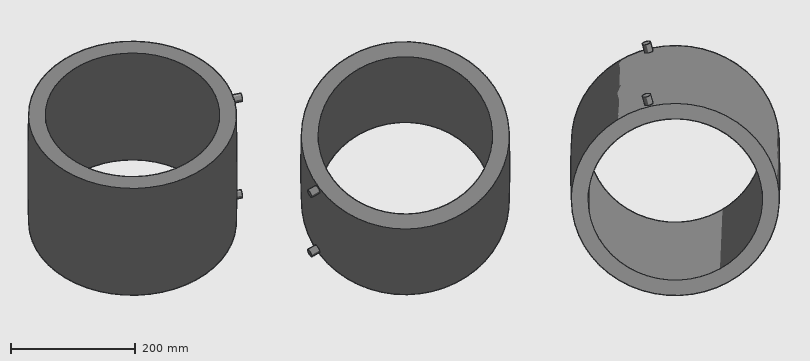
import cadquery as cq

length = 244.0
bore_diameter = 281.0
band_diameter = 337.3
end_diameter = 335.2
band_width = 25.0
crown_diameter = 336.9

pin_diameter = 14.0
pin_tip_y = 183.05
pin_end_distance = 12.0

half_length = length / 2
half_band = band_width / 2
crown_z = (half_length + half_band) / 2
wall_middle_radius = (bore_diameter + end_diameter) / 4


def make_sleeve():
    """Revolve the wall section: a straight middle band between two shallow barrelled stretches."""
    section = (
        cq.Workplane("XZ")
        .moveTo(bore_diameter / 2, -half_length)
        .lineTo(end_diameter / 2, -half_length)
        .threePointArc((crown_diameter / 2, -crown_z), (band_diameter / 2, -half_band))
        .lineTo(band_diameter / 2, half_band)
        .threePointArc((crown_diameter / 2, crown_z), (end_diameter / 2, half_length))
        .lineTo(bore_diameter / 2, half_length)
        .close()
    )
    return section.revolve(360, (0, 0, 0), (0, 1, 0))


def make_pin(axis_z):
    """Round pin along +Y, rooted in the middle of the wall."""
    return (
        cq.Workplane("XZ", origin=(0, wall_middle_radius, axis_z))
        .circle(pin_diameter / 2)
        .extrude(wall_middle_radius - pin_tip_y)
    )


result = make_sleeve()
for side in (-1, 1):
    result = result.union(make_pin(side * (half_length - pin_end_distance)))